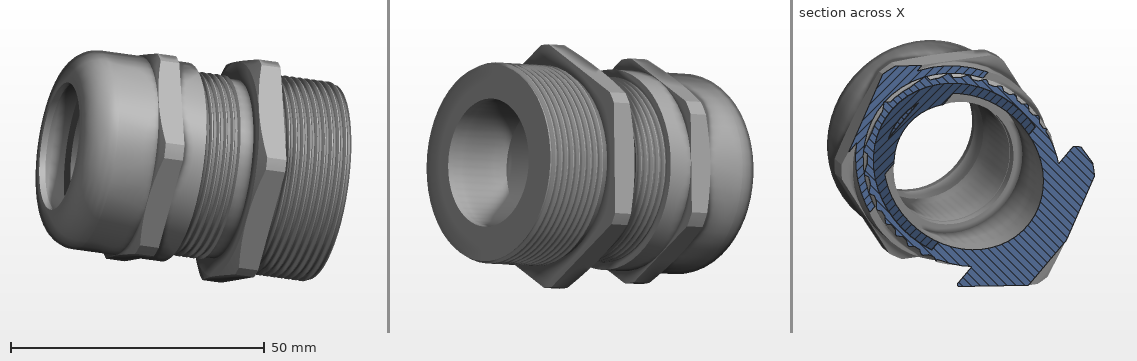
import cadquery as cq
import math


mouth_center = (-25.2, -10.5, 8.9)
axis_azimuth = 22.1
axis_elevation = -17.6
hex_roll = 8.0

cap_diameter = 39.7
cap_length = 24.05
mouth_radius = 5.8
mouth_diameter = 25.4
lip_thickness = 1.3
cap_hex_front = 14.05
cap_hex_rear = 18.95
cap_hex_flats = 39.95
cap_hex_corners = 44.45

seal_bore = 25.2
seal_diameter = 29.1
seal_front = 6.45
seal_rear = 20.95

cage_diameter = 33.2
cage_flange_bore = mouth_diameter
cage_flange_rear = 22.8
cage_rear = 30.7

body_front = 16.1
body_bore = seal_diameter
shoulder = 39.5
outlet_bore = 25.4
body_end = 54.3
collar_diameter = 35.6
body_hex_front = 34.5
body_hex_rear = 39.6
body_hex_flats = 42.9
body_hex_corners = 48.2
body_hex_face = 42.7

pitch = 1.5
flank_angle = 30
crest_flat = pitch / 8
cap_thread_crest = 36.7
cap_thread_root = 35.4
cap_thread_end = 31.65
cap_thread_ridges = 10
end_thread_crest = 39.8
end_thread_root = 38.3
end_diameter = 39.0
end_thread_last_crest = 53.1
end_thread_ridges = 9

chamfer_angle = 23


def turned(profile):
    """Solid of revolution about Z from (radius, z) points."""
    return cq.Workplane("XZ").polyline(profile).close().revolve(360, (0, 0, 0), (0, 1, 0))


def hex_collar(flats, corners, face, front, rear):
    """Hexagonal collar with turned corners and a front chamfer starting at diameter `face`."""
    prism = (
        cq.Workplane("XY")
        .workplane(offset=front)
        .polygon(6, flats / math.cos(math.pi / 6))
        .extrude(rear - front)
    )
    chamfer_height = math.tan(math.radians(chamfer_angle)) * (corners - face) / 2
    envelope = turned([
        (0, front),
        (face / 2, front),
        (corners / 2, front + chamfer_height),
        (corners / 2, rear),
        (0, rear),
    ])
    return prism.intersect(envelope)


def flank_length(root, crest):
    """Axial length of one thread flank."""
    return (crest - root) / 2 * math.tan(math.radians(flank_angle))


def thread_outline(root, crest, last_crest, ridges):
    """(radius, z) points of V ridges with the front edge of the last crest at `last_crest`."""
    flank = flank_length(root, crest)
    points = []
    for ridge in range(ridges):
        crest_z = last_crest - (ridges - 1 - ridge) * pitch
        points.append((root / 2, crest_z - flank))
        points.append((crest / 2, crest_z))
        if ridge < ridges - 1:
            points.append((crest / 2, crest_z + crest_flat))
            points.append((root / 2, crest_z + crest_flat + flank))
    return points


def make_cap():
    shell = cq.Workplane("XY").circle(cap_diameter / 2).extrude(cap_length)
    shell = shell.faces("<Z").edges().fillet(mouth_radius)
    collar = hex_collar(cap_hex_flats, cap_hex_corners, cap_diameter, cap_hex_front, cap_hex_rear)
    cavity = turned([
        (0, 0),
        (mouth_diameter / 2, 0),
        (mouth_diameter / 2, lip_thickness),
        (cage_diameter / 2, seal_front),
        (cage_diameter / 2, body_front),
        (cap_thread_crest / 2, body_front),
        (cap_thread_crest / 2, cap_length),
        (0, cap_length),
    ])
    return shell.union(collar).cut(cavity)


def make_seal():
    return turned([
        (seal_bore / 2, seal_front),
        (seal_diameter / 2, seal_front),
        (seal_diameter / 2, seal_rear),
        (seal_bore / 2, seal_rear),
    ])


def make_cage():
    return turned([
        (seal_diameter / 2, seal_front),
        (cage_diameter / 2, seal_front),
        (cage_diameter / 2, cage_rear),
        (seal_diameter / 2, cage_rear),
        (seal_diameter / 2, cage_flange_rear),
        (cage_flange_bore / 2, cage_flange_rear),
        (cage_flange_bore / 2, seal_rear),
        (seal_diameter / 2, seal_rear),
    ])


def make_body():
    outline = [(cage_diameter / 2, body_front), (cap_thread_root / 2, body_front)]
    outline += thread_outline(cap_thread_root, cap_thread_crest, cap_thread_end, cap_thread_ridges)
    outline += [
        (collar_diameter / 2, cap_thread_end),
        (collar_diameter / 2, body_hex_rear),
        (end_thread_root / 2, body_hex_rear),
    ]
    outline += thread_outline(
        end_thread_root, end_thread_crest, end_thread_last_crest, end_thread_ridges
    )
    end_flank = flank_length(end_thread_root, end_thread_crest)
    outline += [
        (end_thread_crest / 2, end_thread_last_crest + crest_flat),
        (end_thread_root / 2, end_thread_last_crest + crest_flat + end_flank),
        (end_thread_root / 2, end_thread_last_crest + pitch - end_flank),
        (end_diameter / 2, body_end),
        (outlet_bore / 2, body_end),
        (outlet_bore / 2, shoulder),
        (body_bore / 2, shoulder),
        (body_bore / 2, cage_rear),
        (cage_diameter / 2, cage_rear),
    ]
    collar = hex_collar(
        body_hex_flats, body_hex_corners, body_hex_face, body_hex_front, body_hex_rear
    )
    collar = collar.cut(cq.Workplane("XY").circle(cage_diameter / 2).extrude(body_end))
    return turned(outline).union(collar)


def gland_plane():
    """Plane whose normal is the tilted gland axis."""
    azimuth = math.radians(axis_azimuth)
    elevation = math.radians(axis_elevation)
    axis = (
        math.cos(elevation) * math.cos(azimuth),
        math.cos(elevation) * math.sin(azimuth),
        math.sin(elevation),
    )
    level = (-math.sin(azimuth), math.cos(azimuth), 0)
    return cq.Plane(mouth_center, level, axis).rotated((0, 0, hex_roll))


pose = cq.Location(gland_plane())
cap = make_cap().val().moved(pose)
seal = make_seal().val().moved(pose)
cage = make_cage().val().moved(pose)
body = make_body().val().moved(pose)

result = cq.Compound.makeCompound([cap, seal, cage, body])